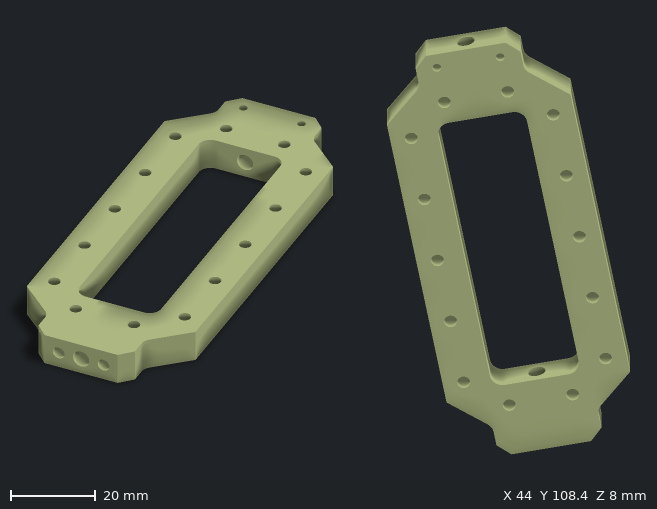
import cadquery as cq

length = 108.4
width = 44.0
thickness = 8.0
neck_width = 25.1
end_chamfer = 3.0
shoulder_y = 37.7
neck_root_y = 46.2
neck_fillet = 3.0

window_width = 21.2
window_length = 71.3
window_radius = 3.0

mount_hole_diameter = 3.0
side_hole_x = 17.0
side_hole_pitch = 16.6
side_hole_count = 5
end_hole_x = 7.6
end_hole_y = 41.2
pin_hole_diameter = 2.1
pin_hole_y = 50.6

bore_diameter = 4.2
blind_hole_diameter = 3.0
blind_hole_x = 5.9
blind_hole_depth = 10.0


def make_plate():
    """Symmetric plate with sloped shoulders and chamfered necks at both ends."""
    quarter = [
        (width / 2, shoulder_y),
        (neck_width / 2, neck_root_y),
        (neck_width / 2, length / 2 - end_chamfer),
        (neck_width / 2 - end_chamfer, length / 2),
    ]
    right_half = [(x, -y) for x, y in reversed(quarter)] + quarter
    left_half = [(-x, -y) for x, y in right_half]
    plate = cq.Workplane("XY").polyline(right_half + left_half).close().extrude(thickness)

    for x in (-neck_width / 2, neck_width / 2):
        for y in (-neck_root_y, neck_root_y):
            root_edge = cq.selectors.NearestToPointSelector((x, y, thickness / 2))
            plate = plate.edges("|Z").edges(root_edge).fillet(neck_fillet)
    return plate


def make_window():
    window = cq.Workplane("XY").rect(window_width, window_length).extrude(thickness)
    return window.edges("|Z").fillet(window_radius)


def vertical_holes(points, diameter):
    return cq.Workplane("XY").pushPoints(points).circle(diameter / 2).extrude(thickness)


def lengthwise_holes(x_positions, diameter, depth):
    """Holes at mid-thickness, running in +Y from the -Y end face."""
    end_plane = cq.Workplane("XZ", origin=(0, -length / 2, thickness / 2))
    return end_plane.pushPoints([(x, 0) for x in x_positions]).circle(diameter / 2).extrude(-depth)


first_side_hole_y = -side_hole_pitch * (side_hole_count - 1) / 2
mount_points = []
pin_points = []
for side in (-1, 1):
    for i in range(side_hole_count):
        mount_points.append((side * side_hole_x, first_side_hole_y + i * side_hole_pitch))
    mount_points.append((side * end_hole_x, -end_hole_y))
    mount_points.append((side * end_hole_x, end_hole_y))
    pin_points.append((side * end_hole_x, pin_hole_y))

result = make_plate().cut(make_window())
result = result.cut(vertical_holes(mount_points, mount_hole_diameter))
result = result.cut(vertical_holes(pin_points, pin_hole_diameter))
result = result.cut(lengthwise_holes([0], bore_diameter, length))
result = result.cut(lengthwise_holes([-blind_hole_x, blind_hole_x], blind_hole_diameter, blind_hole_depth))

result = result.translate((0, 0, -thickness / 2))